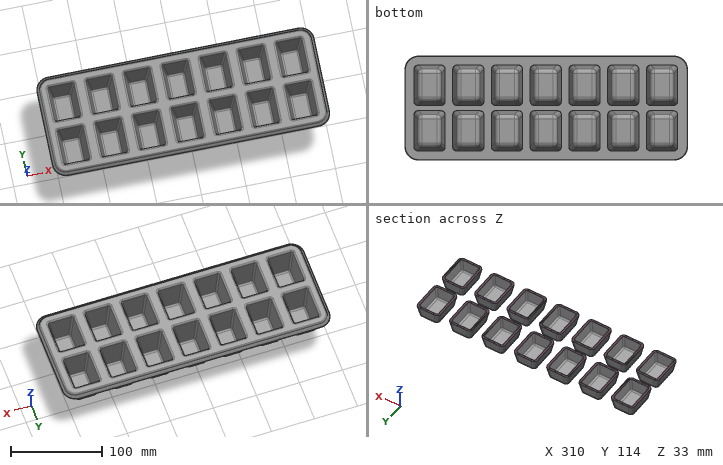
import cadquery as cq
import math

FLANGE_LENGTH = 310.0
FLANGE_WIDTH = 114.0
TOTAL_HEIGHT = 33.0

FLANGE_CORNER_RADIUS = 15.0
FLANGE_THICKNESS = 2.0
FLANGE_TOP_RADIUS = 1.5
FLANGE_BOTTOM_RADIUS = 0.49

PLATE_INSET = 3.0
PLATE_HEIGHT = 5.0
PLATE_EDGE_RADIUS = 1.5
STEP_RADIUS = 1.0

COLUMNS = 7
ROWS = 2
COLUMN_PITCH = 42.5
ROW_PITCH = 50.0
GRID_OFFSET_X = -0.5

CAVITY_LENGTH = 30.0
CAVITY_WIDTH = 40.0
CAVITY_RADIUS = 2.0
MOUTH_RADIUS = 2.0
WALL = 3.0
DRAFT_ANGLE = 10.0

PLATE_LENGTH = FLANGE_LENGTH - 2 * PLATE_INSET
PLATE_WIDTH = FLANGE_WIDTH - 2 * PLATE_INSET
PLATE_CORNER_RADIUS = FLANGE_CORNER_RADIUS - PLATE_INSET
CAVITY_DEPTH = TOTAL_HEIGHT - WALL
CUP_RADIUS = CAVITY_RADIUS + WALL
LEVEL_WALL = WALL / math.cos(math.radians(DRAFT_ANGLE))
CUP_LENGTH = CAVITY_LENGTH + 2 * LEVEL_WALL
CUP_WIDTH = CAVITY_WIDTH + 2 * LEVEL_WALL


def rounded_slab(length, width, thickness, corner_radius):
    """Flat slab with rounded corners, standing on the underside of the plate."""
    floor = cq.Workplane("XY").workplane(offset=-PLATE_HEIGHT)
    return floor.rect(length, width).extrude(thickness).edges("|Z").fillet(corner_radius)


def round_inner_edges(body, face, radius):
    """Round the edges of every opening or island inside one flat face of a body."""
    inner_edges = [edge for wire in face.innerWires() for edge in wire.Edges()]
    return body.newObject(inner_edges).fillet(radius)


def make_flange():
    """Flange slab with a rounded rim."""
    flange = rounded_slab(FLANGE_LENGTH, FLANGE_WIDTH, FLANGE_THICKNESS, FLANGE_CORNER_RADIUS)
    flange = flange.faces(">Z").edges().fillet(FLANGE_TOP_RADIUS)
    return flange.faces("<Z").edges().fillet(FLANGE_BOTTOM_RADIUS)


def make_tray_top():
    """Plate standing on its flange, with a hollow rounding at the step."""
    plate = rounded_slab(PLATE_LENGTH, PLATE_WIDTH, PLATE_HEIGHT, PLATE_CORNER_RADIUS)
    plate = plate.faces(">Z").edges().fillet(PLATE_EDGE_RADIUS)
    tray_top = make_flange().union(plate)
    flange_face = tray_top.faces("|Z").faces(">Z[-2]").val()
    return round_inner_edges(tray_top, flange_face, STEP_RADIUS)


def tapered_block(length, width, depth, edge_radius):
    """Block hanging from Z = 0 that narrows downward, rounded everywhere but at its top."""
    block = cq.Workplane("XY").rect(length, width).extrude(-depth, taper=DRAFT_ANGLE)
    return block.edges("not >Z").fillet(edge_radius)


def at_every_cup(block):
    """Copies of a block at all cup positions."""
    grid = cq.Workplane("XY").center(GRID_OFFSET_X, 0)
    grid = grid.rarray(COLUMN_PITCH, ROW_PITCH, COLUMNS, ROWS)
    return grid.eachpoint(lambda place: block.val().moved(place))


def make_tray():
    """Plate and flange with the hollow cups hanging below."""
    cups = at_every_cup(tapered_block(CUP_LENGTH, CUP_WIDTH, TOTAL_HEIGHT, CUP_RADIUS))
    cavities = at_every_cup(tapered_block(CAVITY_LENGTH, CAVITY_WIDTH, CAVITY_DEPTH, CAVITY_RADIUS))
    tray = make_tray_top().union(cups).cut(cavities)
    return round_inner_edges(tray, tray.faces(">Z").val(), MOUTH_RADIUS)


result = make_tray()